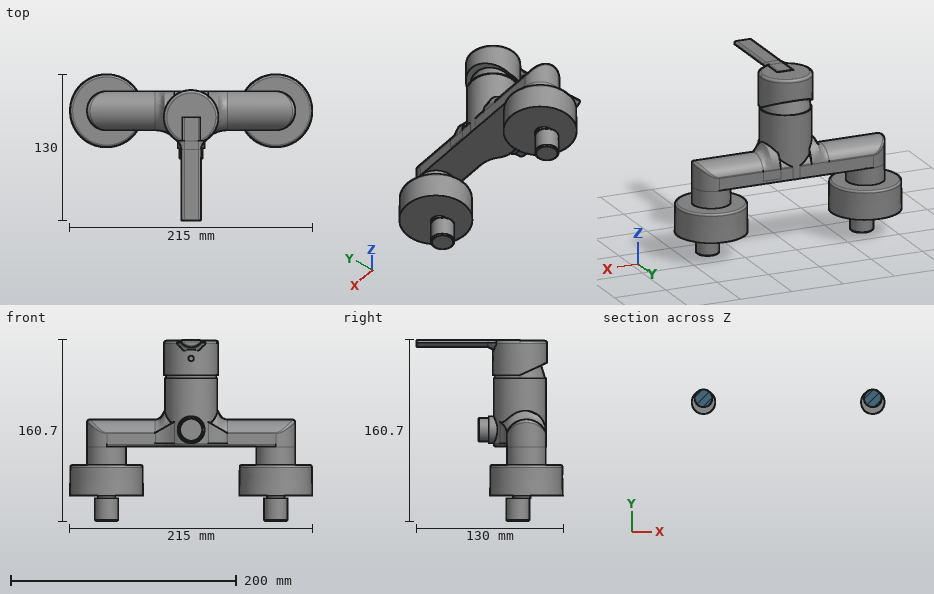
import cadquery as cq
import math


COLUMN_RADIUS = 23.3
COLUMN_TOP = 60.7
NECK_RADIUS = 22.4
NECK_TOP = 72.0
NECK_TOP_DEPTH = 19.0

CAP_RADIUS = 24.2
CAP_TOP = 94.1
CAP_BOTTOM = 63.4
CAP_BACK_BOTTOM = 74.5
CAP_ROUNDING = 2.5
CAP_MARK_RADIUS = 2.4
CAP_MARK_HEIGHT = 78.2
CAP_MARK_DEPTH = 0.3

LEVER_END = -91.8
LEVER_TOP = 94.7
LEVER_HALF_WIDTH = 8.85
LEVER_FLAT_HALF_WIDTH = 6.2
LEVER_SHOULDER = 92.2
LEVER_BOTTOM = 88.2
LEVER_END_ROUNDING = 1.5
LEVER_SIDE_BLEND = 9.3
LEVER_UNDER_BLEND = 5.2
LEVER_BLEND_START = -28.6
LEVER_BLEND_END = -21.0

INLET_SPACING = 150.0
INLET_X = INLET_SPACING / 2
INLET_Y = 5.7
INLET_RADIUS = 17.35
ARM_CREST = 24.2
ARM_SHOULDER = 12.2
ARM_END_ROUNDING = 2.6
ARM_BOTTOM_ROUNDING = 2.3
ARM_BASE = 3.0

SIDE_BLEND = 26.6
CREST_BLEND = 7.5
BLEND_SHOULDER_RISE = 9.8

ESCUTCHEON_TOP = -16.2
ESCUTCHEON_BOTTOM = -43.3
ESCUTCHEON_RADIUS = 32.5
ESCUTCHEON_TOP_RADIUS = 32.1
ESCUTCHEON_ROUNDING = 1.9
THREAD_RADIUS = 10.5
THREAD_Y = -1.8
THREAD_TOP = -45.7
THREAD_LENGTH = 20.26
THREAD_CHAMFER = 1.2
THREAD_NECK_RADIUS = 7.9
THREAD_NECK_Y = 1.7

OUTLET_HEIGHT = 15.0
OUTLET_COLLAR_RADIUS = 12.0
OUTLET_COLLAR_END = 27.7
OUTLET_RADIUS = 10.5
OUTLET_END = 36.9
OUTLET_CHAMFER = 0.8

BLEND_SECTIONS = 11

ARM_FRONT = INLET_Y - INLET_RADIUS
ARM_BACK = INLET_Y + INLET_RADIUS

BLEND_CENTER_DISTANCE = COLUMN_RADIUS + SIDE_BLEND
BLEND_CENTER_Y = ARM_FRONT - SIDE_BLEND
SIDE_BLEND_START = math.sqrt(BLEND_CENTER_DISTANCE**2 - BLEND_CENTER_Y**2)
SIDE_BLEND_CONTACT_X = SIDE_BLEND_START * COLUMN_RADIUS / BLEND_CENTER_DISTANCE
SIDE_BLEND_CONTACT_Y = BLEND_CENTER_Y * COLUMN_RADIUS / BLEND_CENTER_DISTANCE


def cylinder(x, y, bottom, top, radius):
    """Upright cylinder between two heights."""
    return cq.Workplane("XY", origin=(x, y, bottom)).circle(radius).extrude(top - bottom)


def forward_cylinder(height, reach, radius):
    """Level cylinder from the column axis toward -Y."""
    return cq.Workplane("XZ", origin=(0, 0, height)).circle(radius).extrude(reach)


def concave_rise(radius, distance):
    """Rise of a concave arc at a distance past the point where it leaves its tangent line."""
    travel = min(distance, radius)
    return radius - math.sqrt(radius**2 - travel**2)


def spaced(start, end):
    """Evenly spaced stations for the sections of a blend."""
    step = (end - start) / (BLEND_SECTIONS - 1)
    return [start + step * i for i in range(BLEND_SECTIONS)]


def arch(workplane, bottom, front, front_shoulder, crest):
    """Arm section: flat bottom, upright sides and an arched top."""
    return (
        workplane.moveTo(front, front_shoulder)
        .lineTo(front, bottom)
        .lineTo(ARM_BACK, bottom)
        .lineTo(ARM_BACK, ARM_SHOULDER)
        .threePointArc((INLET_Y, crest), (front, front_shoulder))
        .close()
    )


def blend_section(x, side):
    """Closed section of the concave blend at a distance from the column axis."""
    travel = SIDE_BLEND_START - x
    progress = travel / (SIDE_BLEND_START - SIDE_BLEND_CONTACT_X)
    front = ARM_FRONT - concave_rise(SIDE_BLEND, travel)
    shoulder = ARM_SHOULDER + BLEND_SHOULDER_RISE * progress
    crest = ARM_CREST + concave_rise(CREST_BLEND, travel)
    plane = cq.Workplane("YZ", origin=(side * x, 0, 0))
    return arch(plane, ARM_BASE, front, shoulder, crest).wires().val()


def make_arm():
    """Arched bar with softened round ends, recessed between the inlets to seat the base slab."""
    half_length = INLET_X + INLET_RADIUS
    start_plane = cq.Workplane("YZ", origin=(-half_length, 0, 0))
    bar = arch(start_plane, 0, ARM_FRONT, ARM_SHOULDER, ARM_CREST).extrude(2 * half_length)
    outline = (
        cq.Workplane("XY", origin=(0, INLET_Y, 0))
        .slot2D(2 * half_length, 2 * INLET_RADIUS)
        .extrude(2 * ARM_CREST)
    )
    base_space = cq.Workplane("XY").rect(INLET_SPACING, 4 * INLET_RADIUS).extrude(ARM_BASE)
    return bar.intersect(outline).edges("%BSPLINE").fillet(ARM_END_ROUNDING).cut(base_space)


def make_arm_blend(side):
    """Flared piece that carries one half of the arm smoothly into the column."""
    wires = [blend_section(x, side) for x in spaced(SIDE_BLEND_START, SIDE_BLEND_CONTACT_X)]
    return cq.Workplane(cq.Solid.makeLoft(wires))


def make_base():
    """Slab under the arm between the inlets, rounded along its lower front edge."""
    to_column = math.atan2(-BLEND_CENTER_Y, -SIDE_BLEND_START)
    middle_angle = (math.pi / 2 + to_column) / 2
    middle_x = SIDE_BLEND_START + SIDE_BLEND * math.cos(middle_angle)
    middle_y = BLEND_CENTER_Y + SIDE_BLEND * math.sin(middle_angle)
    outline = (
        cq.Workplane("XY")
        .moveTo(-INLET_X, ARM_BACK)
        .lineTo(-INLET_X, ARM_FRONT)
        .lineTo(-SIDE_BLEND_START, ARM_FRONT)
        .threePointArc((-middle_x, middle_y), (-SIDE_BLEND_CONTACT_X, SIDE_BLEND_CONTACT_Y))
        .threePointArc((0, -COLUMN_RADIUS), (SIDE_BLEND_CONTACT_X, SIDE_BLEND_CONTACT_Y))
        .threePointArc((middle_x, middle_y), (SIDE_BLEND_START, ARM_FRONT))
        .lineTo(INLET_X, ARM_FRONT)
        .lineTo(INLET_X, ARM_BACK)
        .close()
    )
    slab = outline.extrude(ARM_BASE)
    front_edges = slab.faces("<Z").edges("(not |Y) and (not >Y)")
    return front_edges.fillet(ARM_BOTTOM_ROUNDING).union(make_column_back())


def make_column_back():
    """Sliver of the column foot that stands behind the arm."""
    behind = cq.Workplane("XY", origin=(0, COLUMN_RADIUS, 0)).rect(2 * COLUMN_RADIUS, 2 * COLUMN_RADIUS)
    return cylinder(0, 0, 0, ARM_BASE, COLUMN_RADIUS).intersect(behind.extrude(ARM_BASE))


def half_oval(height, depth):
    """Back half of an oval as wide as the neck, at a height."""
    return (
        cq.Workplane("XY", origin=(0, 0, height))
        .moveTo(NECK_RADIUS, 0)
        .threePointArc((0, depth), (-NECK_RADIUS, 0))
        .close()
        .wires()
        .val()
    )


def make_neck():
    """Neck under the cap: upright at the front, leaning inward at the back."""
    front_half = (
        cq.Workplane("XY", origin=(0, 0, COLUMN_TOP))
        .moveTo(-NECK_RADIUS, 0)
        .threePointArc((0, -NECK_RADIUS), (NECK_RADIUS, 0))
        .close()
        .extrude(NECK_TOP - COLUMN_TOP)
    )
    back_half = cq.Solid.makeLoft([half_oval(COLUMN_TOP, NECK_RADIUS), half_oval(NECK_TOP, NECK_TOP_DEPTH)])
    return front_half.union(cq.Workplane(back_half))


def make_cap():
    """Round cap with a rim that climbs toward the back and a small round mark at the front."""
    cap = cylinder(0, 0, CAP_BOTTOM, CAP_TOP, CAP_RADIUS).faces(">Z").edges().fillet(CAP_ROUNDING)
    under_rim = (
        cq.Workplane("YZ", origin=(-CAP_RADIUS, 0, 0))
        .moveTo(0, CAP_BOTTOM)
        .lineTo(CAP_RADIUS, CAP_BOTTOM)
        .lineTo(CAP_RADIUS, CAP_BACK_BOTTOM)
        .close()
        .extrude(2 * CAP_RADIUS)
    )
    mark = forward_cylinder(CAP_MARK_HEIGHT, CAP_RADIUS, CAP_MARK_RADIUS)
    core = cylinder(0, 0, CAP_BOTTOM, CAP_TOP, CAP_RADIUS - CAP_MARK_DEPTH)
    return cap.cut(under_rim).cut(mark.cut(core))


def lever_section(y, half_width, bottom):
    """Lever section: flat top, rounded shoulders and a bellied underside."""
    width = half_width - LEVER_FLAT_HALF_WIDTH
    drop = LEVER_TOP - LEVER_SHOULDER
    radius = (width**2 + drop**2) / (2 * drop)
    half_angle = math.atan2(drop, width)
    bulge_x = LEVER_FLAT_HALF_WIDTH + radius * math.sin(half_angle)
    bulge_z = LEVER_TOP - radius * (1 - math.cos(half_angle))
    return (
        cq.Workplane("XZ", origin=(0, y, 0))
        .moveTo(-LEVER_FLAT_HALF_WIDTH, LEVER_TOP)
        .lineTo(LEVER_FLAT_HALF_WIDTH, LEVER_TOP)
        .threePointArc((bulge_x, bulge_z), (half_width, LEVER_SHOULDER))
        .threePointArc((0, bottom), (-half_width, LEVER_SHOULDER))
        .threePointArc((-bulge_x, bulge_z), (-LEVER_FLAT_HALF_WIDTH, LEVER_TOP))
        .close()
    )


def make_lever():
    """Lever that reaches forward from the cap centre, flared where it leaves the cap."""
    bar = lever_section(0, LEVER_HALF_WIDTH, LEVER_BOTTOM).extrude(-LEVER_END)
    bar = bar.faces("<Y").edges().fillet(LEVER_END_ROUNDING)
    wires = []
    for y in spaced(LEVER_BLEND_START, LEVER_BLEND_END):
        travel = y - LEVER_BLEND_START
        half_width = LEVER_HALF_WIDTH + concave_rise(LEVER_SIDE_BLEND, travel)
        bottom = LEVER_BOTTOM - concave_rise(LEVER_UNDER_BLEND, travel)
        wires.append(lever_section(y, half_width, bottom).wires().val())
    return bar.union(cq.Workplane(cq.Solid.makeLoft(wires)))


def make_outlet():
    """Front outlet: a collar and a chamfered nipple."""
    collar = forward_cylinder(OUTLET_HEIGHT, OUTLET_COLLAR_END, OUTLET_COLLAR_RADIUS)
    nipple = forward_cylinder(OUTLET_HEIGHT, OUTLET_END, OUTLET_RADIUS)
    return collar.union(nipple.faces("<Y").chamfer(OUTLET_CHAMFER))


def make_wall_connection(x):
    """Inlet pipe, escutcheon and offset threaded end at one end of the arm."""
    inlet = cylinder(x, INLET_Y, ESCUTCHEON_TOP, 0, INLET_RADIUS)
    escutcheon = (
        cq.Workplane("XY", origin=(x, INLET_Y, ESCUTCHEON_BOTTOM))
        .circle(ESCUTCHEON_RADIUS)
        .workplane(offset=ESCUTCHEON_TOP - ESCUTCHEON_BOTTOM)
        .circle(ESCUTCHEON_TOP_RADIUS)
        .loft()
        .faces(">Z")
        .edges()
        .fillet(ESCUTCHEON_ROUNDING)
    )
    neck = cylinder(x, THREAD_NECK_Y, THREAD_TOP, ESCUTCHEON_BOTTOM, THREAD_NECK_RADIUS)
    thread = cylinder(x, THREAD_Y, THREAD_TOP - THREAD_LENGTH, THREAD_TOP, THREAD_RADIUS)
    thread = thread.faces("<Z").chamfer(THREAD_CHAMFER)
    return inlet.union(escutcheon).union(neck).union(thread)


column = cylinder(0, 0, ARM_BASE, COLUMN_TOP, COLUMN_RADIUS)
result = make_base().union(column).union(make_arm())
for end in (-1, 1):
    result = result.union(make_arm_blend(end)).union(make_wall_connection(end * INLET_X))
result = result.union(make_outlet()).union(make_neck()).union(make_cap()).union(make_lever())
result = result.clean()